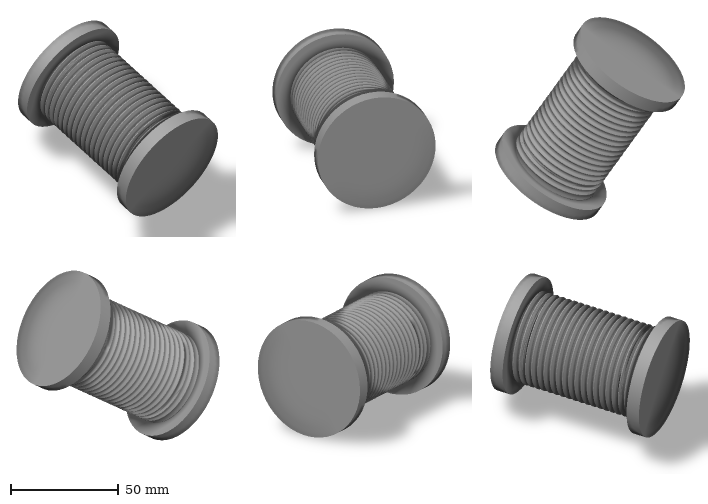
import cadquery as cq

length = 76.2
flange_diameter = 57.15
flange_thickness = length / 12

pitch = length / 24
crest_radius = 22.25
root_radius = 20.1
crest_width = 0.3
root_width = 3.05
root_overlap = 0.15
thread_start = 3.2
thread_turns = 21.5


def make_cylinder(diameter, start, height):
    """Cylinder along Z, starting at the given height."""
    return cq.Workplane("XY").workplane(offset=start).circle(diameter / 2).extrude(height)


def make_thread():
    """Helical V ridge around Z, starting on the +X side."""
    base_radius = root_radius - root_overlap
    profile = (
        cq.Workplane("XZ")
        .moveTo(base_radius, -root_width / 2)
        .lineTo(crest_radius, -crest_width / 2)
        .lineTo(crest_radius, crest_width / 2)
        .lineTo(base_radius, root_width / 2)
        .close()
    )
    helix = cq.Wire.makeHelix(pitch, pitch * thread_turns, base_radius)
    ridge = profile.sweep(cq.Workplane(obj=helix), isFrenet=True)
    return ridge.translate((0, 0, thread_start))


core = make_cylinder(2 * root_radius, 0, length)
spool = core.union(make_thread())
for flange_start in (0, length - flange_thickness):
    spool = spool.union(make_cylinder(flange_diameter, flange_start, flange_thickness))

result = spool.rotate((0, 0, 0), (0, 1, 0), 90).translate((-length / 2, 0, 0))